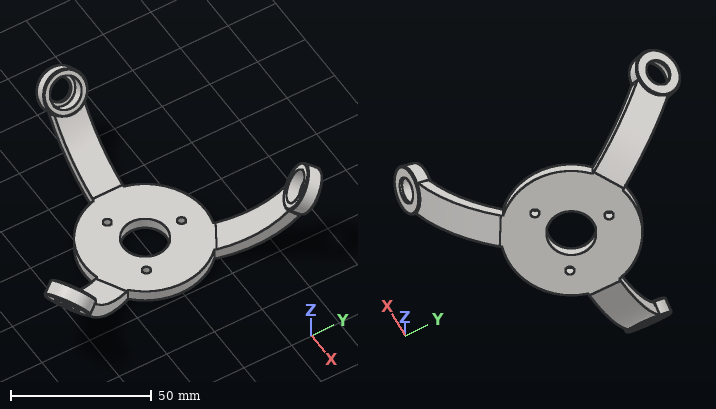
import cadquery as cq
import math

disc_diameter = 50.7
disc_thickness = 5.0
disc_bore_diameter = 17.8
screw_hole_diameter = 3.2
screw_circle_radius = 15.3
screw_angles = (90, 210, 330)

arm_angles = (60, 180, 300)
arm_width = 12.7
arm_root_radius = disc_diameter / 2
arm_overlap = 2.7
arm_lower_middle = (41.5, 8.2)
arm_lower_tip = (55.0, 22.4)
arm_upper_tip = (51.1, 25.1)
arm_upper_middle = (39.9, 13.0)

ring_diameter = 17.8
ring_length = 6.0
ring_chamfer = 0.4
ring_center_radius = 56.3
ring_center_height = 29.7
ring_tilt = 30
seat_diameter = 12.7
seat_depth = 5.0
through_diameter = 9.5

ring_axis = (-math.cos(math.radians(ring_tilt)), 0, math.sin(math.radians(ring_tilt)))


def ring_plane(offset):
    """Plane across the ring axis, offset along it from the ring's middle."""
    origin = (
        ring_center_radius + offset * ring_axis[0],
        0,
        ring_center_height + offset * ring_axis[2],
    )
    return cq.Plane(origin=origin, xDir=(0, 1, 0), normal=ring_axis)


def make_disc():
    disc = cq.Workplane("XY").circle(disc_diameter / 2).extrude(disc_thickness)
    bore = cq.Workplane("XY").circle(disc_bore_diameter / 2).extrude(disc_thickness)
    disc = disc.cut(bore)
    for angle in screw_angles:
        hole = (
            cq.Workplane("XY")
            .center(screw_circle_radius, 0)
            .circle(screw_hole_diameter / 2)
            .extrude(disc_thickness)
            .rotate((0, 0, 0), (0, 0, 1), angle)
        )
        disc = disc.cut(hole)
    return disc


def make_arm():
    """One arm along +X with its bored ring."""
    bar = (
        cq.Workplane("XZ")
        .moveTo(arm_root_radius - arm_overlap, 0)
        .lineTo(arm_root_radius, 0)
        .threePointArc(arm_lower_middle, arm_lower_tip)
        .lineTo(*arm_upper_tip)
        .threePointArc(arm_upper_middle, (arm_root_radius, disc_thickness))
        .lineTo(arm_root_radius - arm_overlap, disc_thickness)
        .close()
        .extrude(arm_width / 2, both=True)
    )
    half_length = ring_length / 2
    ring = (
        cq.Workplane(ring_plane(-half_length))
        .circle(ring_diameter / 2)
        .extrude(ring_length)
        .edges()
        .chamfer(ring_chamfer)
    )
    through_hole = (
        cq.Workplane(ring_plane(-half_length))
        .circle(through_diameter / 2)
        .extrude(ring_length)
    )
    seat = (
        cq.Workplane(ring_plane(half_length - seat_depth))
        .circle(seat_diameter / 2)
        .extrude(seat_depth)
    )
    return bar.union(ring).cut(through_hole).cut(seat)


result = make_disc()
arm = make_arm()
for arm_angle in arm_angles:
    result = result.union(arm.rotate((0, 0, 0), (0, 0, 1), arm_angle))